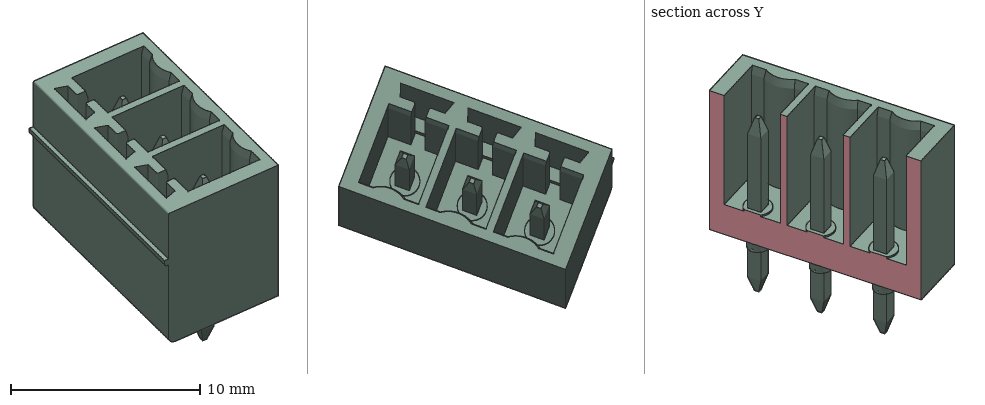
import cadquery as cq
import math


housing_width = 12.82
housing_depth = 7.0
housing_height = 9.18
pin_to_back = 3.03
front_y = pin_to_back - housing_depth
bottom_front_radius = 0.47
top_front_radius = 0.1

rib_projection = 0.25
rib_height = 0.45
rib_below_top = 3.18
rib_top_z = housing_height - rib_below_top
rib_radius = 0.24

pole_count = 3
pole_pitch = 3.81
pole_positions = [(i - (pole_count - 1) / 2) * pole_pitch for i in range(pole_count)]

floor_z = 2.0
cavity_width = 3.38
cavity_depth = 4.3
back_wall = 0.7
cavity_back_y = pin_to_back - back_wall
cavity_front_y = cavity_back_y - cavity_depth
bump_radius = 1.59
bump_height = 0.3

lead_in_depth = 0.14
lead_in_height = 0.5

neck_width = 0.81
neck_corner_radius = 0.1
slot_wall = 0.6
slot_depth = 0.7
slot_front_y = front_y + slot_wall
slot_back_y = slot_front_y + slot_depth
slot_back_width = 2.54
slot_front_width = 3.0
slot_floor_step = 0.5
slot_floor_z = floor_z + slot_floor_step

pin_side = 0.81
tip_side = 0.25
tip_length = 0.99
pin_below_top = 1.2
pin_top_z = housing_height - pin_below_top
pin_bottom_z = -3.42
collar_diameter = 1.2
collar_height = 0.51
boss_diameter = 1.59
boss_height = 0.1


def make_housing():
    """Solid block with rounded front edges and the rib across its front face."""
    block = (
        cq.Workplane("XY", origin=(0, front_y, 0))
        .box(housing_width, housing_depth, housing_height, centered=(True, False, False))
    )
    block = block.faces("<Y").edges("<Z").fillet(bottom_front_radius)
    block = block.faces("<Y").edges(">Z").fillet(top_front_radius)
    rib = (
        cq.Workplane("XY")
        .box(housing_width, 2 * rib_projection, rib_height)
        .faces("<Y").edges("<Z").fillet(rib_radius)
        .translate((0, front_y, rib_top_z - rib_height / 2))
    )
    return block.union(rib)


def cavity_outline(z, offset):
    """Cavity outline at height z, with its front and back edges moved outwards by offset."""
    half_width = cavity_width / 2
    back_y = cavity_back_y + offset
    front_edge_y = cavity_front_y - offset
    radius = bump_radius - offset
    bump_tip_y = cavity_back_y - bump_height + offset
    bump_centre_y = bump_tip_y + radius
    half_chord = math.sqrt(radius**2 - (bump_centre_y - back_y) ** 2)
    return (
        cq.Workplane("XY", origin=(0, 0, z))
        .moveTo(-half_width, front_edge_y)
        .lineTo(half_width, front_edge_y)
        .lineTo(half_width, back_y)
        .lineTo(half_chord, back_y)
        .threePointArc((0, bump_tip_y), (-half_chord, back_y))
        .lineTo(-half_width, back_y)
        .close()
    )


def make_lead_in():
    """Mouth of the cavity, widening towards the front and back up to the top face."""
    lower = cavity_outline(housing_height - lead_in_height, 0).wires().val()
    upper = cavity_outline(housing_height, lead_in_depth).wires().val()
    return cq.Workplane(cq.Solid.makeLoft([lower, upper], True))


def make_keyway():
    """Neck from the cavity to the dovetail slot, with its slot-side corners rounded."""
    half_neck = neck_width / 2
    flare_start_y = slot_back_y + neck_corner_radius
    flare_mid_x = half_neck + neck_corner_radius * (1 - math.sqrt(0.5))
    flare_mid_y = flare_start_y - neck_corner_radius * math.sqrt(0.5)
    flare_end_x = half_neck + neck_corner_radius
    neck = (
        cq.Workplane("XY", origin=(0, 0, floor_z))
        .moveTo(half_neck, cavity_front_y)
        .lineTo(half_neck, flare_start_y)
        .threePointArc((flare_mid_x, flare_mid_y), (flare_end_x, slot_back_y))
        .lineTo(-flare_end_x, slot_back_y)
        .threePointArc((-flare_mid_x, flare_mid_y), (-half_neck, flare_start_y))
        .lineTo(-half_neck, cavity_front_y)
        .close()
        .extrude(housing_height - floor_z)
    )
    slot = (
        cq.Workplane("XY", origin=(0, 0, slot_floor_z))
        .polyline([
            (-slot_front_width / 2, slot_front_y),
            (slot_front_width / 2, slot_front_y),
            (slot_back_width / 2, slot_back_y),
            (-slot_back_width / 2, slot_back_y),
        ])
        .close()
        .extrude(housing_height - slot_floor_z)
    )
    return neck.union(slot)


def make_opening():
    """Everything removed from the housing for one pole."""
    cavity = cavity_outline(floor_z, 0).extrude(housing_height - floor_z)
    return cavity.union(make_lead_in()).union(make_keyway())


def make_pin():
    """Square pin tapered at both ends, with a collar under the housing and a boss on the cavity floor."""
    shank_bottom_z = pin_bottom_z + tip_length
    shank_top_z = pin_top_z - tip_length
    pin = (
        cq.Workplane("XY", origin=(0, 0, shank_bottom_z))
        .rect(pin_side, pin_side)
        .extrude(shank_top_z - shank_bottom_z)
    )
    for end_z, direction in ((shank_bottom_z, -1), (shank_top_z, 1)):
        tip = (
            cq.Workplane("XY", origin=(0, 0, end_z))
            .rect(pin_side, pin_side)
            .workplane(offset=direction * tip_length)
            .rect(tip_side, tip_side)
            .loft()
        )
        pin = pin.union(tip)
    collar = cq.Workplane("XY").circle(collar_diameter / 2).extrude(-collar_height)
    boss = cq.Workplane("XY", origin=(0, 0, floor_z)).circle(boss_diameter / 2).extrude(boss_height)
    return pin.union(collar).union(boss)


result = make_housing()
opening = make_opening()
pin = make_pin()
for x in pole_positions:
    result = result.cut(opening.translate((x, 0, 0)))
    result = result.union(pin.translate((x, 0, 0)))